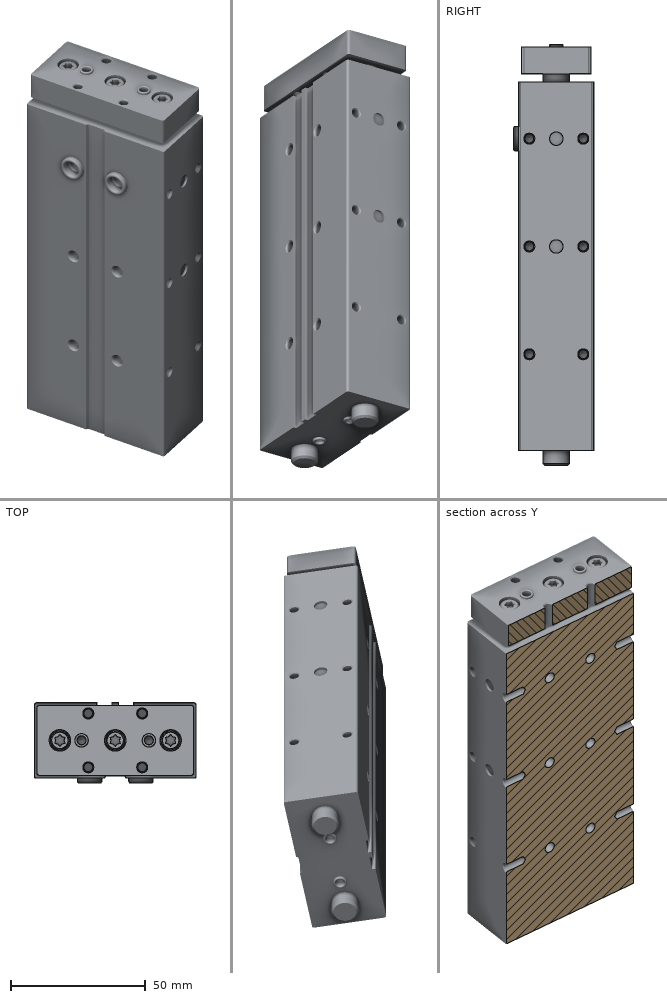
import cadquery as cq
import math

rod_overhang = 5.5
housing_height = 136.7
plate_gap = 3.0
plate_thickness = 10.0
pin_sleeve_protrusion = 1.0

housing_bottom = rod_overhang
housing_top = housing_bottom + housing_height
plate_bottom = housing_top + plate_gap
plate_top = plate_bottom + plate_thickness

housing_width = 60.0
housing_depth = 28.0
housing_front_edge_radius = 0.6
housing_back_edge_radius = 1.0
front_y = -housing_depth / 2
back_y = housing_depth / 2

front_groove_width = 8.0
front_groove_depth = 0.8
front_groove_side_run = 0.5

back_channel_width = 13.6
back_channel_depth = 1.2
back_rib_width = 2.5

row_pitch = 40.0
row_count = 3
first_row_drop = 21.0
first_row_z = housing_top - first_row_drop
row_heights = [first_row_z - row * row_pitch for row in range(row_count)]

front_hole_x = 9.5
front_hole_diameter = 4.0
front_hole_mouth = 5.0

small_hole_offset = 10.0
small_hole_diameter = 3.3
small_hole_mouth = 4.0
side_hole_depth = 8.0
drill_tip_angle = 118

dowel_diameter = 5.0
dowel_depth = 1.0
dowel_rows = 2

plate_width = 58.0
plate_depth = 25.9
plate_edge_radius = 1.0

head_diameter = 7.0
counterbore_diameter = 8.0
counterbore_depth = 4.0
head_recess = 0.6
head_chamfer = 0.5
socket_tip_diameter = 4.4
socket_valley_diameter = 3.1
socket_points = 6
socket_depth = 2.0

guide_rod_spacing = 41.0
guide_rod_x = guide_rod_spacing / 2
guide_rod_diameter = 10.0
guide_rod_chamfer = 0.8
piston_rod_diameter = 5.0
piston_rod_insertion = 15.6

port_sleeve_outer = 9.0
port_sleeve_inner = 6.0
port_sleeve_protrusion = 1.9
port_sleeve_seat = 1.1

pin_sleeve_outer = 5.0
pin_sleeve_inner = 3.3
pin_sleeve_seat = 1.2
top_sleeve_x = 12.5
bottom_sleeve_x = 10.5
thread_hole_diameter = 3.3
thread_hole_depth = 7.0

DOWN = (0, 0, -1)
UP = (0, 0, 1)
INTO_FRONT = (0, 1, 0)
INTO_BACK = (0, -1, 0)


def cylinder(point, direction, diameter, length):
    """Cylinder from a point along a direction."""
    return cq.Workplane(cq.Solid.makeCylinder(diameter / 2, length, cq.Vector(point), cq.Vector(direction)))


def cone(point, direction, start_diameter, end_diameter, length):
    """Cone that tapers along a direction."""
    return cq.Workplane(
        cq.Solid.makeCone(start_diameter / 2, end_diameter / 2, length, cq.Vector(point), cq.Vector(direction))
    )


def hole_mouth(point, direction, mouth_diameter, hole_diameter):
    """Cutter for the 45 degree chamfer at the mouth of a hole."""
    return cone(point, direction, mouth_diameter, hole_diameter, (mouth_diameter - hole_diameter) / 2)


def drilled_hole(point, direction, diameter, depth):
    """Cutter for a blind hole with a drill point at its end."""
    tip_length = diameter / 2 / math.tan(math.radians(drill_tip_angle / 2))
    tip_start = cq.Vector(point) + cq.Vector(direction) * depth
    return cylinder(point, direction, diameter, depth).union(cone(tip_start, direction, diameter, 0, tip_length))


def upright_block(width, depth, height, bottom, front_edge_radius, back_edge_radius):
    """Block centred on the Z axis, with rounded vertical edges."""
    block = cq.Workplane("XY", origin=(0, 0, bottom)).rect(width, depth).extrude(height)
    block = block.faces("<Y").edges("|Z").fillet(front_edge_radius)
    return block.faces(">Y").edges("|Z").fillet(back_edge_radius)


def front_groove():
    """Cutter with sloping sides, along the whole front face."""
    top_half = front_groove_width / 2
    floor_half = top_half - front_groove_side_run
    floor_y = front_y + front_groove_depth
    return (
        cq.Workplane("XY", origin=(0, 0, housing_bottom))
        .polyline([(-top_half, front_y), (top_half, front_y), (floor_half, floor_y), (-floor_half, floor_y)])
        .close()
        .extrude(housing_height)
    )


def back_channel():
    """Cutter for the back channel: two slots, with the rib left standing between them."""
    slot_width = (back_channel_width - back_rib_width) / 2
    slot_x = (back_channel_width + back_rib_width) / 4
    return (
        cq.Workplane("XY", origin=(0, 0, housing_bottom))
        .pushPoints([(-slot_x, back_y - back_channel_depth / 2), (slot_x, back_y - back_channel_depth / 2)])
        .rect(slot_width, back_channel_depth)
        .extrude(housing_height)
    )


def cut_front_holes(body):
    """Through holes from front to back; the upper row has a seat for a sleeve."""
    for row, z in enumerate(row_heights):
        seat_depth = port_sleeve_seat if row == 0 else 0
        for x in (-front_hole_x, front_hole_x):
            face = (x, front_y, z)
            hole_start = (x, front_y + seat_depth, z)
            body = body.cut(cylinder(face, INTO_FRONT, front_hole_diameter, housing_depth))
            body = body.cut(hole_mouth(hole_start, INTO_FRONT, front_hole_mouth, front_hole_diameter))
            body = body.cut(hole_mouth((x, back_y, z), INTO_BACK, front_hole_mouth, front_hole_diameter))
            if seat_depth:
                body = body.cut(cylinder(face, INTO_FRONT, port_sleeve_outer, seat_depth))
    return body


def cut_side_holes(body):
    """Blind threaded holes and shallow dowel seats in both narrow sides."""
    for side in (-1, 1):
        face_x = side * housing_width / 2
        inward = (-side, 0, 0)
        for z in row_heights:
            for y in (-small_hole_offset, small_hole_offset):
                face = (face_x, y, z)
                body = body.cut(drilled_hole(face, inward, small_hole_diameter, side_hole_depth))
                body = body.cut(hole_mouth(face, inward, small_hole_mouth, small_hole_diameter))
        for z in row_heights[:dowel_rows]:
            body = body.cut(cylinder((face_x, 0, z), inward, dowel_diameter, dowel_depth))
    return body


def cut_rod_bores(body):
    """Through bores for the guide rods and a blind bore for the piston rod."""
    for x in (-guide_rod_x, guide_rod_x):
        body = body.cut(cylinder((x, 0, housing_bottom), UP, guide_rod_diameter, housing_height))
    return body.cut(cylinder((0, 0, housing_top), DOWN, piston_rod_diameter, piston_rod_insertion))


def cut_pin_sleeve_seats(body, sleeve_x, face_z, inward):
    """Pair of seats for small sleeves, each with a threaded hole under it."""
    for x in (-sleeve_x, sleeve_x):
        face = (x, 0, face_z)
        body = body.cut(cylinder(face, inward, pin_sleeve_outer, pin_sleeve_seat))
        body = body.cut(drilled_hole(face, inward, thread_hole_diameter, thread_hole_depth))
    return body


def make_housing():
    body = upright_block(
        housing_width,
        housing_depth,
        housing_height,
        housing_bottom,
        housing_front_edge_radius,
        housing_back_edge_radius,
    )
    body = body.cut(front_groove()).cut(back_channel())
    body = cut_front_holes(body)
    body = cut_side_holes(body)
    body = cut_rod_bores(body)
    return cut_pin_sleeve_seats(body, bottom_sleeve_x, housing_bottom, UP)


def star_points():
    """Outline of the star socket: tips and valleys in turn, with a tip toward +Y."""
    points = []
    for step in range(2 * socket_points):
        radius = (socket_valley_diameter if step % 2 else socket_tip_diameter) / 2
        angle = math.pi / 2 + step * math.pi / socket_points
        points.append((radius * math.cos(angle), radius * math.sin(angle)))
    return points


def screw_head_gap(x):
    """Cutter that leaves a socket head standing in its counterbore."""
    head_z = plate_top - head_recess
    gap = cylinder((x, 0, plate_top), DOWN, counterbore_diameter, counterbore_depth)
    head = cylinder((x, 0, head_z), DOWN, head_diameter, counterbore_depth)
    head = head.faces(">Z").edges().chamfer(head_chamfer)
    socket = cq.Workplane("XY", origin=(x, 0, head_z)).polyline(star_points()).close().extrude(-socket_depth)
    return gap.cut(head.cut(socket))


def make_end_plate():
    plate = upright_block(
        plate_width, plate_depth, plate_thickness, plate_bottom, plate_edge_radius, plate_edge_radius
    )
    for x in (-guide_rod_x, 0, guide_rod_x):
        plate = plate.cut(screw_head_gap(x))
    for x in (-small_hole_offset, small_hole_offset):
        for y in (-small_hole_offset, small_hole_offset):
            face = (x, y, plate_top)
            plate = plate.cut(cylinder(face, DOWN, small_hole_diameter, plate_thickness))
            plate = plate.cut(hole_mouth(face, DOWN, small_hole_mouth, small_hole_diameter))
    plate = cut_pin_sleeve_seats(plate, top_sleeve_x, plate_top, DOWN)
    piston_rod = cylinder((0, 0, plate_bottom), DOWN, piston_rod_diameter, plate_gap + piston_rod_insertion)
    return plate.union(piston_rod)


def make_guide_rod(x):
    """Rod from the underside of the end plate, right through the housing."""
    rod = cylinder((x, 0, 0), UP, guide_rod_diameter, plate_bottom)
    return rod.faces("<Z").edges().chamfer(guide_rod_chamfer)


def make_sleeve(end, inward, outer_diameter, inner_diameter, length):
    """Ring along a direction; its exposed end, at the given point, is fully rounded."""
    outer_radius = outer_diameter / 2
    inner_radius = inner_diameter / 2
    rounding = (outer_radius - inner_radius) / 2
    middle_radius = inner_radius + rounding
    axis_plane = cq.Plane(origin=end, xDir=(1, 0, 0), normal=cq.Vector(1, 0, 0).cross(cq.Vector(inward)))
    return (
        cq.Workplane(axis_plane)
        .moveTo(inner_radius, length)
        .lineTo(inner_radius, rounding)
        .threePointArc((middle_radius, 0), (outer_radius, rounding))
        .lineTo(outer_radius, length)
        .close()
        .revolve(360, (0, 0), (0, 1))
    )


def make_port_sleeve(x):
    """Large sleeve that stands out of the front face around an upper hole."""
    end = (x, front_y - port_sleeve_protrusion, first_row_z)
    length = port_sleeve_protrusion + port_sleeve_seat
    return make_sleeve(end, INTO_FRONT, port_sleeve_outer, port_sleeve_inner, length)


def make_pin_sleeve(x, end_z, inward):
    """Small sleeve whose exposed end lies at the given height."""
    length = pin_sleeve_protrusion + pin_sleeve_seat
    return make_sleeve((x, 0, end_z), inward, pin_sleeve_outer, pin_sleeve_inner, length)


housing = make_housing()
end_plate = make_end_plate()
bottom_sleeve_end = housing_bottom - pin_sleeve_protrusion
top_sleeve_end = plate_top + pin_sleeve_protrusion
guide_rods = []
port_sleeves = []
top_sleeves = []
bottom_sleeves = []
for side in (-1, 1):
    guide_rods.append(make_guide_rod(side * guide_rod_x).val())
    port_sleeves.append(make_port_sleeve(side * front_hole_x).val())
    top_sleeves.append(make_pin_sleeve(side * top_sleeve_x, top_sleeve_end, DOWN).val())
    bottom_sleeves.append(make_pin_sleeve(side * bottom_sleeve_x, bottom_sleeve_end, UP).val())

result = cq.Compound.makeCompound(
    [housing.val(), end_plate.val(), *guide_rods, *port_sleeves, *top_sleeves, *bottom_sleeves]
)